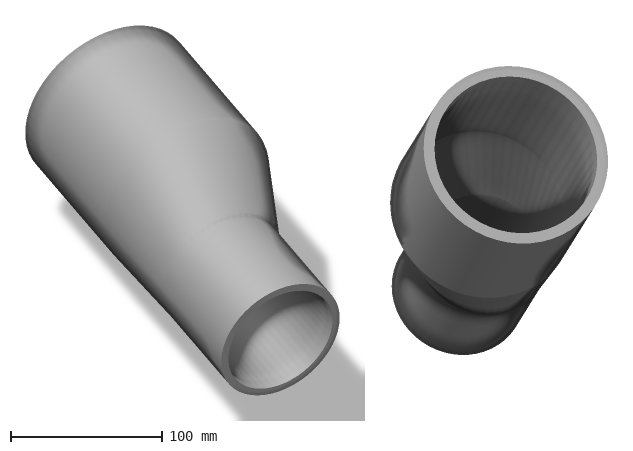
import cadquery as cq

total_length = 264.0
large_length = 107.0
small_length = 79.2
large_outer_diameter = 125.0
large_bore_diameter = 110.0
small_outer_diameter = 90.0
small_bore_diameter = 79.2
joint_radius = 6.5
flush_gap = 0.03

taper_length = total_length - large_length - small_length
taper_end = large_length + taper_length
small_axis_y = (small_outer_diameter - large_outer_diameter) / 2 + flush_gap


def stepped_body(large_diameter, small_diameter):
    """Large cylinder, eccentric taper and small cylinder as one solid."""
    large_end = cq.Workplane("YZ").circle(large_diameter / 2).extrude(large_length)
    taper = (
        cq.Workplane("YZ", origin=(large_length, 0, 0))
        .circle(large_diameter / 2)
        .workplane(offset=taper_length)
        .center(small_axis_y, 0)
        .circle(small_diameter / 2)
        .loft(ruled=True)
    )
    small_end = (
        cq.Workplane("YZ", origin=(taper_end, small_axis_y, 0))
        .circle(small_diameter / 2)
        .extrude(small_length)
    )
    return large_end.union(taper).union(small_end)


def round_joints(body):
    """Fillet both circular edges where the taper meets the cylinders."""
    half_width = large_outer_diameter
    joint_zone = cq.selectors.BoxSelector(
        (large_length - joint_radius, -half_width, -half_width),
        (taper_end + joint_radius, half_width, half_width),
    )
    return body.edges("%CIRCLE").edges(joint_zone).fillet(joint_radius)


outer_body = round_joints(stepped_body(large_outer_diameter, small_outer_diameter))
bore = stepped_body(large_bore_diameter, small_bore_diameter)
result = outer_body.cut(bore)